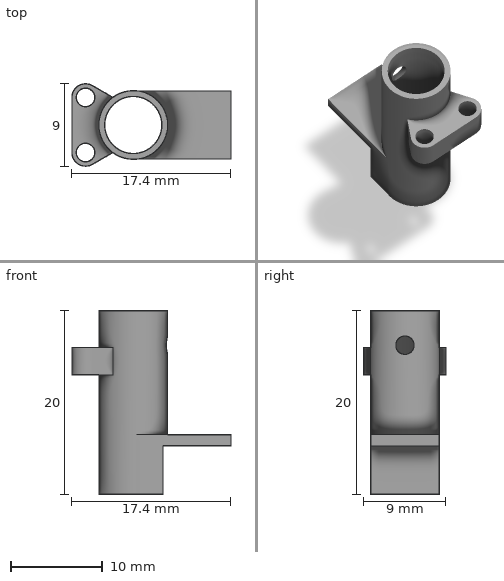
import cadquery as cq
import math

tube_height = 20.0
outer_diameter = 7.5
bore_diameter = 6.2

side_hole_diameter = 2.0
side_hole_z = 16.25

ear_bottom = 13.0
ear_thickness = 3.0
ear_radius = 1.5
ear_hole_diameter = 2.0
ear_hole_x = -5.2
ear_hole_spacing = 6.0
flank_angle = 30.0

shelf_width = 7.45
shelf_end_x = 10.65
shelf_top = 6.5
shelf_thickness = 1.25
shelf_bottom = shelf_top - shelf_thickness
foot_face_x = 3.25


def cylinder(diameter, height):
    return cq.Workplane("XY").circle(diameter / 2).extrude(height)


def block(length, height, bottom):
    """Block of shelf width running from the tube axis toward +X."""
    return (
        cq.Workplane("XY")
        .box(length, shelf_width, height, centered=(False, True, False))
        .translate((0, 0, bottom))
    )


def make_ear():
    """Plate with rounded corners whose flanks run tangentially in to the tube."""
    hole_y = ear_hole_spacing / 2
    angle = math.radians(flank_angle)
    tangent_x = ear_hole_x + ear_radius * math.sin(angle)
    tangent_y = hole_y + ear_radius * math.cos(angle)
    axis_y = tangent_y + tangent_x * math.tan(angle)
    mid_angle = (math.pi + math.pi / 2 - angle) / 2
    mid_x = ear_hole_x + ear_radius * math.cos(mid_angle)
    mid_y = hole_y + ear_radius * math.sin(mid_angle)
    left_x = ear_hole_x - ear_radius
    return (
        cq.Workplane("XY")
        .workplane(offset=ear_bottom)
        .moveTo(0, axis_y)
        .lineTo(tangent_x, tangent_y)
        .threePointArc((mid_x, mid_y), (left_x, hole_y))
        .lineTo(left_x, -hole_y)
        .threePointArc((mid_x, -mid_y), (tangent_x, -tangent_y))
        .lineTo(0, -axis_y)
        .close()
        .pushPoints([(ear_hole_x, hole_y), (ear_hole_x, -hole_y)])
        .circle(ear_hole_diameter / 2)
        .extrude(ear_thickness)
    )


def make_side_hole():
    return (
        cq.Workplane("YZ")
        .center(0, side_hole_z)
        .circle(side_hole_diameter / 2)
        .extrude(outer_diameter)
    )


def make_foot_cut():
    """Material removed below the shelf, leaving a flat foot face."""
    return (
        cq.Workplane("XY")
        .box(shelf_end_x, outer_diameter, shelf_bottom, centered=(False, True, False))
        .translate((foot_face_x, 0, 0))
    )


shelf = block(shelf_end_x, shelf_thickness, shelf_bottom)
foot = block(foot_face_x, shelf_bottom, 0)

result = (
    cylinder(outer_diameter, tube_height)
    .union(make_ear())
    .union(shelf)
    .union(foot)
    .cut(make_foot_cut())
    .cut(cylinder(bore_diameter, tube_height))
    .cut(make_side_hole())
)